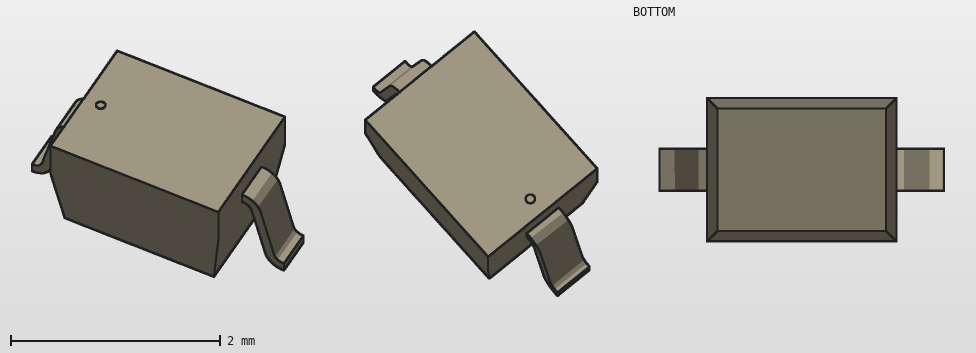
import cadquery as cq
import math

overall_length = 2.72
housing_length = 1.812
housing_width = 1.37
housing_height = 1.09
parting_height = 0.688
taper_inset = 0.1

lead_thickness = 0.1
lead_width = 0.403
lead_top = 0.855
lead_slope = math.radians(75)
bend_radius = 1.5 * lead_thickness

mark_diameter = 0.09
mark_depth = 0.01
mark_edge_distance = 0.182


def make_mark():
    """Thin disc let into the top face, near the -X edge."""
    return (
        cq.Workplane("XY", origin=(mark_edge_distance - housing_length / 2, 0, housing_height))
        .circle(mark_diameter / 2)
        .extrude(-mark_depth)
    )


def make_housing():
    """Upper block and tapered base as one solid, with a recess for the mark."""
    upper = (
        cq.Workplane("XY", origin=(0, 0, parting_height))
        .rect(housing_length, housing_width)
        .extrude(housing_height - parting_height)
    )
    base = (
        cq.Workplane("XY")
        .rect(housing_length - 2 * taper_inset, housing_width - 2 * taper_inset)
        .workplane(offset=parting_height)
        .rect(housing_length, housing_width)
        .loft(ruled=True)
    )
    return upper.union(base).cut(make_mark())


def make_lead():
    """Strip on the +X end, swept along its centreline from the housing to the foot."""
    root_x = housing_length / 2
    root_z = lead_top - lead_thickness / 2
    bend_run = bend_radius * math.sin(lead_slope)
    bend_drop = bend_radius * (1 - math.cos(lead_slope))
    leg_drop = lead_top - lead_thickness - 2 * bend_drop
    leg_run = leg_drop / math.tan(lead_slope)
    flat = ((overall_length - housing_length) / 2 - 2 * bend_run - leg_run) / 2

    centreline = (
        cq.Workplane("XZ", origin=(root_x, 0, root_z))
        .hLine(flat)
        .tangentArcPoint((bend_run, -bend_drop))
        .line(leg_run, -leg_drop)
        .tangentArcPoint((bend_run, -bend_drop))
        .hLine(flat)
    )
    return (
        cq.Workplane("YZ", origin=(root_x, 0, root_z))
        .rect(lead_width, lead_thickness)
        .sweep(centreline)
    )


housing = make_housing()
mark = make_mark()
leads = [make_lead().rotate((0, 0, 0), (0, 0, 1), angle) for angle in (0, 180)]

result = cq.Compound.makeCompound([housing.val(), mark.val(), *[lead.val() for lead in leads]])